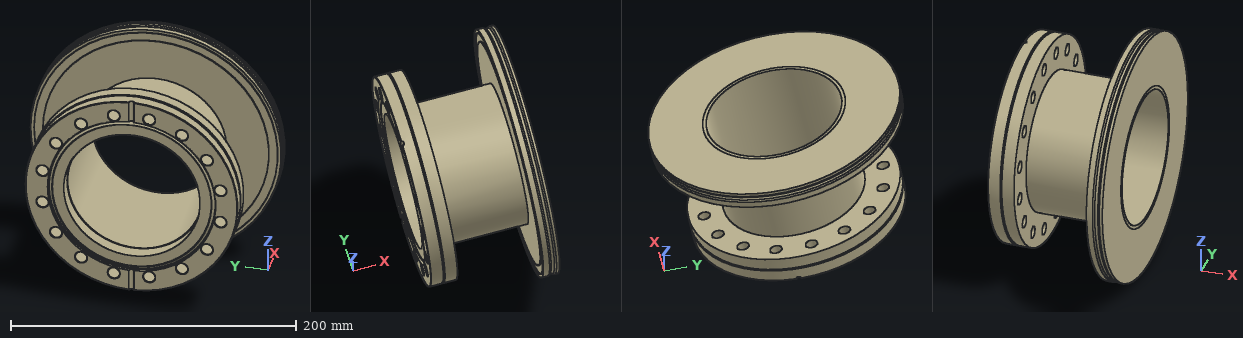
import cadquery as cq

TOTAL_LENGTH = 90.0

BOLTED_DIAMETER = 152.5
BOLTED_THICKNESS = 19.5
BOLTED_BORE = 98.0
RIM_CHAMFER = 0.4
RIM_GROOVE_CENTER = 9.7
RIM_GROOVE_WIDTH = 1.3
RIM_GROOVE_DEPTH = 0.7
RECESS_DIAMETER = 120.6
RECESS_DEPTH = 1.3
KNIFE_DIAMETER = 114.8
KNIFE_INNER_DIAMETER = 114.1
KNIFE_ROOT_DIAMETER = 119.3
KNIFE_ROOT_DEPTH = 2.3
KNIFE_HEIGHT = 0.4
BOLT_COUNT = 16
BOLT_HOLE_DIAMETER = 8.5
BOLT_HOLE_CHAMFER = 0.27
BOLT_CIRCLE = 130.3
LEAK_SLOT_RADIUS = 1.8

TUBE_DIAMETER = 102.0
TUBE_BORE = 97.0
TUBE_START = 11.9

CLAMP_DIAMETER = 180.0
CLAMP_THICKNESS = 11.9
FACE_GROOVE_INNER = 162.4
FACE_GROOVE_OUTER = 175.0
FACE_GROOVE_DEPTH = 0.7
EDGE_GROOVE_CENTER = 7.0
EDGE_GROOVE_WIDTH = 5.0
EDGE_GROOVE_SHOULDER_DIAMETER = 178.5
EDGE_GROOVE_FLOOR_DIAMETER = 177.1
EDGE_GROOVE_FLOOR_WIDTH = 2.3


def revolve_profile(points):
    """Turn a closed (x, radius) outline about the X axis."""
    return cq.Workplane("XY").polyline(points).close().revolve(360, (0, 0, 0), (1, 0, 0))


def ring(start, end, outer_diameter, inner_diameter):
    """Plain ring about the X axis."""
    return (
        cq.Workplane("YZ", origin=(start, 0, 0))
        .circle(outer_diameter / 2)
        .circle(inner_diameter / 2)
        .extrude(end - start)
    )


def knife_edge_recess():
    """Sealing recess with a sharp ring standing up from its floor."""
    knife_tip = RECESS_DEPTH - KNIFE_HEIGHT
    return revolve_profile([
        (0, 0),
        (0, RECESS_DIAMETER / 2),
        (KNIFE_ROOT_DEPTH, RECESS_DIAMETER / 2),
        (KNIFE_ROOT_DEPTH, KNIFE_ROOT_DIAMETER / 2),
        (knife_tip, KNIFE_DIAMETER / 2),
        (RECESS_DEPTH, KNIFE_INNER_DIAMETER / 2),
        (RECESS_DEPTH, 0),
    ])


def bolt_holes():
    """Through holes, chamfered at the outer face, straddling the leak-check slots."""
    hole_radius = BOLT_HOLE_DIAMETER / 2
    hole = revolve_profile([
        (0, 0),
        (0, hole_radius + BOLT_HOLE_CHAMFER),
        (BOLT_HOLE_CHAMFER, hole_radius),
        (BOLTED_THICKNESS, hole_radius),
        (BOLTED_THICKNESS, 0),
    ]).translate((0, 0, BOLT_CIRCLE / 2))
    step = 360 / BOLT_COUNT
    holes = cq.Workplane("YZ")
    for index in range(BOLT_COUNT):
        holes = holes.add(hole.rotate((0, 0, 0), (1, 0, 0), (index + 0.5) * step))
    return holes.combine()


def leak_slots():
    """Round-bottomed slots across the outer face, above and below the axis."""
    return (
        cq.Workplane("XY")
        .circle(LEAK_SLOT_RADIUS)
        .extrude(BOLTED_DIAMETER / 2, both=True)
    )


def make_bolted_flange():
    flange = ring(0, BOLTED_THICKNESS, BOLTED_DIAMETER, BOLTED_BORE)
    flange = flange.faces("<X").edges(cq.selectors.RadiusNthSelector(-1)).chamfer(RIM_CHAMFER)
    rim_radius = BOLTED_DIAMETER / 2
    rim_groove = revolve_profile([
        (RIM_GROOVE_CENTER - RIM_GROOVE_WIDTH / 2, rim_radius),
        (RIM_GROOVE_CENTER, rim_radius - RIM_GROOVE_DEPTH),
        (RIM_GROOVE_CENTER + RIM_GROOVE_WIDTH / 2, rim_radius),
    ])
    tube_socket = (
        cq.Workplane("YZ", origin=(TUBE_START, 0, 0))
        .circle(TUBE_DIAMETER / 2)
        .extrude(BOLTED_THICKNESS - TUBE_START)
    )
    slot_stock = ring(0, LEAK_SLOT_RADIUS, BOLTED_DIAMETER, RECESS_DIAMETER)
    return (
        flange.cut(rim_groove)
        .cut(knife_edge_recess())
        .cut(bolt_holes())
        .cut(leak_slots().intersect(slot_stock))
        .cut(tube_socket)
    )


def make_tube():
    return ring(TUBE_START, TOTAL_LENGTH, TUBE_DIAMETER, TUBE_BORE)


def make_clamp_flange():
    start = TOTAL_LENGTH - CLAMP_THICKNESS
    flange = ring(start, TOTAL_LENGTH, CLAMP_DIAMETER, TUBE_DIAMETER)
    face_groove = ring(start, start + FACE_GROOVE_DEPTH, FACE_GROOVE_OUTER, FACE_GROOVE_INNER)

    groove_center = start + EDGE_GROOVE_CENTER
    half_width = EDGE_GROOVE_WIDTH / 2
    half_floor = EDGE_GROOVE_FLOOR_WIDTH / 2
    rim_radius = CLAMP_DIAMETER / 2
    shoulder_radius = EDGE_GROOVE_SHOULDER_DIAMETER / 2
    edge_groove = (
        cq.Workplane("XY")
        .moveTo(groove_center - half_width, rim_radius)
        .lineTo(groove_center - half_floor, shoulder_radius)
        .threePointArc(
            (groove_center, EDGE_GROOVE_FLOOR_DIAMETER / 2),
            (groove_center + half_floor, shoulder_radius),
        )
        .lineTo(groove_center + half_width, rim_radius)
        .close()
        .revolve(360, (0, 0, 0), (1, 0, 0))
    )
    return flange.cut(face_groove).cut(edge_groove)


bolted_flange = make_bolted_flange()
tube = make_tube()
clamp_flange = make_clamp_flange()

result = cq.Compound.makeCompound([
    bolted_flange.val(),
    tube.val(),
    clamp_flange.val(),
])